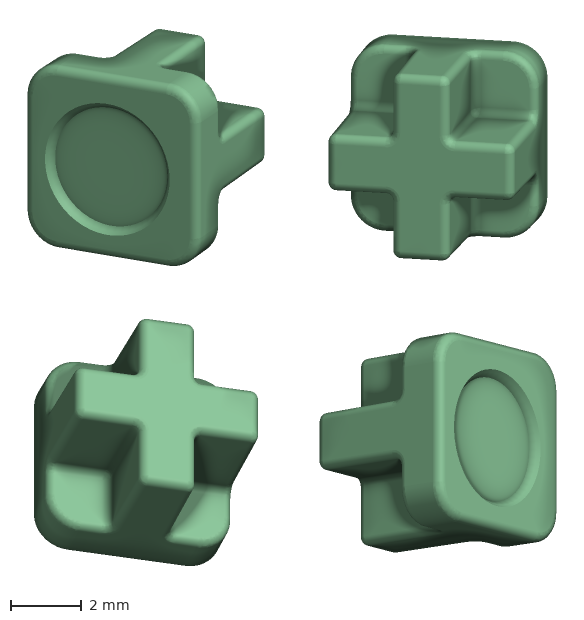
import cadquery as cq
import math

width = 5.47
depth = 4.5
plate_thickness = 1.5
corner_radius = 1.0
arm_thickness = 1.72
draft = 0.5

edge_radius = 0.25
side_edge_radius = 0.23
inner_radius = 0.185
root_radius = 0.25

recess_x = -0.12
recess_z = -0.07
recess_rim_radius = 1.97
recess_floor_radius = 1.77
recess_depth = 0.25

front_width = width + 2 * edge_radius * math.tan(math.radians(draft))

front = cq.Plane(origin=(0, 0, 0), xDir=(1, 0, 0), normal=(0, 1, 0))
margin = 0.055


def drafted_block(x_size, z_size, corner=0):
    """Full-depth rectangular block whose walls lean inward toward the back."""
    block = cq.Workplane(front).rect(x_size, z_size).extrude(depth, taper=draft)
    if corner:
        block = block.edges("not(|X or |Z)").fillet(corner)
    return block


def edges_within(body, reach, y_min, y_max):
    """Edges centred within `reach` of the Y axis in X and Z, between two Y positions."""
    return body.edges(cq.selectors.BoxSelector((-reach, y_min, -reach), (reach, y_max, reach)))


def make_plate():
    slab = cq.Workplane(front).rect(2 * width, 2 * width).extrude(plate_thickness)
    return drafted_block(front_width, front_width, corner_radius).intersect(slab)


def make_cross():
    upright = drafted_block(arm_thickness, front_width)
    crossbar = drafted_block(front_width, arm_thickness)
    return upright.union(crossbar)


def round_hollow_corners(body):
    arm_corner_reach = arm_thickness / 2 + margin
    body = edges_within(body, arm_corner_reach, plate_thickness + margin, depth - margin).fillet(inner_radius)
    root_reach = width / 2 - 2 * edge_radius
    return edges_within(body, root_reach, plate_thickness - margin, plate_thickness + margin).fillet(root_radius)


def round_outer_edges(body):
    inside_reach = width / 2 - corner_radius / 2 + margin
    behind_plate = edges_within(body, width, plate_thickness - margin, depth - margin)
    inside = edges_within(body, inside_reach, plate_thickness - margin, depth - margin)
    outer_chains = [edge for edge in behind_plate.vals() if edge not in inside.vals()]
    body = body.newObject(outer_chains).fillet(side_edge_radius)
    body = body.faces(">Y").edges().fillet(edge_radius)
    return body.faces("<Y").edges().fillet(edge_radius)


def make_recess():
    rim = cq.Workplane(front).center(recess_x, -recess_z).circle(recess_rim_radius)
    return rim.workplane(offset=recess_depth).circle(recess_floor_radius).loft()


body = make_plate().union(make_cross())
body = round_hollow_corners(body)
body = round_outer_edges(body)
result = body.cut(make_recess())